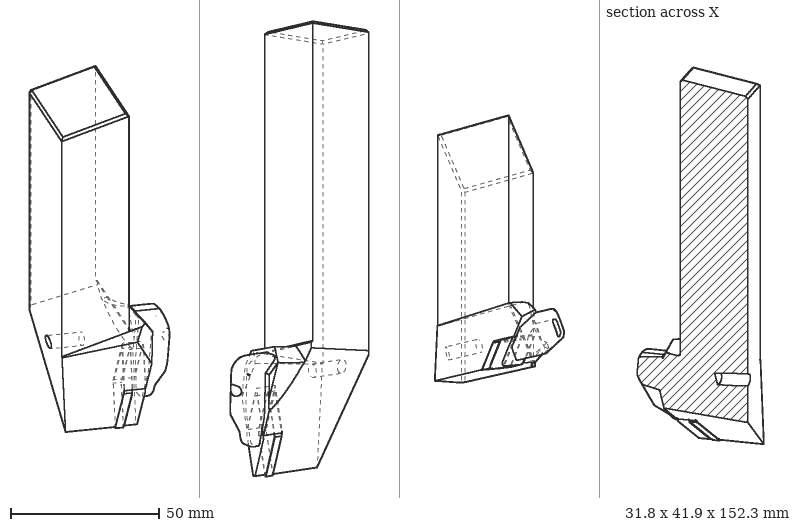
import cadquery as cq
import math


total_length = 152.4
shank_size = 25.5
shank_chamfer = 0.9

shoulder_z = 41.5
shoulder_normal = cq.Vector(0.95, 0, 1)
head_level_y = 26.0
back_bevel_point = cq.Vector(14.8, 30.8, 41.1)
back_bevel_normal = cq.Vector(-0.16, 1, 0.46)
corner_bevel_point = cq.Vector(24.4, 32.3, 41.1)
corner_bevel_normal = cq.Vector(1, 0.62, 0.36)
blank_margin = 15.2

blend_crease_z = 35
blend_start = (2.7, head_level_y)
blend_middle = (7.0, 28.5)
blend_end = (9.6, 32.8)
blend_exit_x = 11.3
blend_upper_lean = cq.Vector(0.85, 0, 1)
blend_lower_lean = cq.Vector(0.4, 0, -1)

left_flank_normal = cq.Vector(1.267, 0.09, 1)
right_flank_normal = cq.Vector(1, -0.1, 0.075)
seat_apex = cq.Vector(31.9, 24.8, -1.5)
insert_edge = 16.6
insert_thickness = 4.7
nose_radius = 0.8
flank_setback = 0.5
shim_thickness = 3.0
shim_inset = 0.3
pocket_gap = 0.5
pocket_depth = insert_thickness + shim_thickness

clamp_nose = 12.6
clamp_ramp_start = 17.4
clamp_shoulder = 23.6
clamp_crown_start = 27.1
clamp_waist = 32.9
clamp_crown_end = 33.5
clamp_heel_start = 35.0
clamp_back = 44.3
clamp_nose_half_width = 2.5
clamp_left_width = 5.2
clamp_right_width = 5.8
clamp_nose_height = 4.4
clamp_nose_front_height = 1.8
clamp_side_height = 6.1
clamp_height = 8.8
clamp_back_height = 5.0
clamp_heel_depth = 4.3
clamp_corner_radius = 1.8
clamp_top_round = 1.2
back_flat_end = 0.8
back_strip_end = 2.5
back_strip_setback = 0.8
broad_corner_length = 6.9
broad_corner_middle = (clamp_back - 2.6, 4.5)
waist_radius = 3.0
waist_depth = 0.8

screw_x = 15.4
screw_z = 38.9
screw_diameter = 4.5
screw_depth = 12.2

seat_normal = left_flank_normal.cross(right_flank_normal).normalized()
right_edge = right_flank_normal.cross(seat_normal).normalized()
seat_plane = cq.Plane(origin=seat_apex.toTuple(), xDir=right_edge.toTuple(), normal=seat_normal.toTuple())
left_flank_point = seat_apex + left_flank_normal.normalized() * flank_setback
half_angle = left_flank_normal.getAngle(right_flank_normal) / 2

clamp_plane = seat_plane.rotated((0, 0, -math.degrees(half_angle)))
clamp_side_plane = clamp_plane.rotated((90, 0, 0))
clamp_section_plane = clamp_plane.rotated((0, 90, 0))
parallel_to_seat_normal = cq.selectors.ParallelDirSelector(seat_normal)


def rhombus(edge, inset=0.0):
    """V outline on the seat plane with its sharp corner at the apex, moved inward by `inset`."""
    tip = inset / math.sin(half_angle)
    half_length = edge * math.cos(half_angle)
    half_width = edge * math.sin(half_angle) - inset / math.cos(half_angle)
    return cq.Workplane(clamp_plane).polyline([
        (tip, 0),
        (half_length, half_width),
        (2 * half_length - tip, 0),
        (half_length, -half_width),
    ]).close()


def half_space_cutter(point, normal):
    """Large block lying wholly on the side of a plane that `normal` points to."""
    reach = 2 * total_length
    plane = cq.Plane(origin=point.toTuple(), normal=normal.toTuple())
    return cq.Workplane(plane).rect(reach, reach).extrude(reach)


def square_bar(width, bottom_z, top_z):
    """Square bar on the X and Y zero faces, with the long edge they share chamfered."""
    bar = cq.Workplane(origin=(0, 0, bottom_z)).box(width, width, top_z - bottom_z, centered=False)
    return bar.edges("|Z and <X and <Y").chamfer(shank_chamfer)


def make_shank():
    bar = square_bar(shank_size, shoulder_z - blank_margin, total_length)
    shank = bar.faces(">Z").chamfer(shank_chamfer)
    return shank.cut(half_space_cutter(left_flank_point, -left_flank_normal))


def flank_wedge():
    """Prism between the two flanks, running through the whole holder along the seat normal."""
    tip = flank_setback / math.sin(half_angle)
    length = 2 * total_length
    spread = (length - tip) * math.tan(half_angle)
    return (
        cq.Workplane(clamp_plane)
        .polyline([(tip, 0), (length, spread), (length, -spread)]).close()
        .extrude(total_length, both=True)
    )


def blend_cutters():
    """Concave sweep beside the platform, leaning toward +X both above and below its crease."""
    outer_y = shank_size + 2 * blank_margin
    profile = (
        cq.Workplane(origin=(0, 0, blend_crease_z))
        .moveTo(-blank_margin, head_level_y)
        .lineTo(*blend_start)
        .threePointArc(blend_middle, blend_end)
        .lineTo(blend_exit_x, outer_y)
        .lineTo(-blank_margin, outer_y)
        .close()
    )
    wire = profile.wires().val()
    upper = cq.Solid.extrudeLinear(wire, [], blend_upper_lean * blank_margin)
    lower = cq.Solid.extrudeLinear(wire, [], blend_lower_lean * blend_crease_z)
    return [cq.Workplane(upper), cq.Workplane(lower)]


def make_head():
    head = square_bar(shank_size + blank_margin, -blank_margin, shoulder_z).intersect(flank_wedge())
    head = head.cut(half_space_cutter(seat_apex, seat_normal))
    head = head.cut(half_space_cutter(cq.Vector(shank_size, 0, shoulder_z), shoulder_normal))
    head = head.cut(half_space_cutter(back_bevel_point, back_bevel_normal))
    head = head.cut(half_space_cutter(corner_bevel_point, corner_bevel_normal))
    for cutter in blend_cutters():
        head = head.cut(cutter)
    return head


def shelf_bevel():
    """Small bevel filling the step between the shank face and the top of the head."""
    step = head_level_y - shank_size
    return (
        cq.Workplane("YZ")
        .polyline([
            (shank_size, shoulder_z),
            (shank_size, shoulder_z + step),
            (head_level_y, shoulder_z),
        ]).close()
        .extrude(shank_size)
    )


def insert_pocket():
    """Open pocket for insert and shim, with a narrow gap along its two inner walls."""
    return rhombus(insert_edge + pocket_gap).extrude(-pocket_depth)


def make_shim():
    blank = rhombus(insert_edge, shim_inset).extrude(-pocket_depth)
    return blank.cut(rhombus(insert_edge + pocket_gap).extrude(-insert_thickness))


def make_insert():
    blank = rhombus(insert_edge).extrude(-insert_thickness)
    return blank.edges(parallel_to_seat_normal).fillet(nose_radius)


def clamp_side_profile():
    """Side outline of the clamp: rounded nose, rising ramp, crown, sloping top and deep heel."""
    nose_rise = clamp_nose_height - clamp_nose_front_height
    arc_inset = nose_rise * (1 - math.sqrt(0.5))
    return (
        cq.Workplane(clamp_side_plane)
        .moveTo(clamp_nose, 0)
        .lineTo(clamp_nose, clamp_nose_front_height)
        .threePointArc(
            (clamp_nose + arc_inset, clamp_nose_height - arc_inset),
            (clamp_nose + nose_rise, clamp_nose_height),
        )
        .lineTo(clamp_ramp_start, clamp_nose_height)
        .lineTo(clamp_crown_start, clamp_height)
        .lineTo(clamp_crown_end, clamp_height)
        .lineTo(clamp_back, clamp_back_height)
        .lineTo(clamp_back, -clamp_heel_depth)
        .lineTo(clamp_heel_start, -clamp_heel_depth)
        .lineTo(clamp_heel_start, 0)
        .close()
        .extrude(2 * clamp_right_width, both=True)
    )


def clamp_plan():
    """Clamp outline square to the seat: narrow nose, parallel sides, one broad rounded corner."""
    blank = (
        cq.Workplane(clamp_plane)
        .moveTo(clamp_nose, clamp_nose_half_width)
        .lineTo(clamp_shoulder, clamp_right_width)
        .lineTo(clamp_back - broad_corner_length, clamp_right_width)
        .threePointArc(broad_corner_middle, (clamp_back - back_strip_setback, back_strip_end))
        .lineTo(clamp_back, back_flat_end)
        .lineTo(clamp_back, -clamp_left_width)
        .lineTo(clamp_shoulder, -clamp_left_width)
        .lineTo(clamp_nose, -clamp_nose_half_width)
        .close()
        .extrude(2 * clamp_height, both=True)
    )
    left_corner = clamp_plane.toWorldCoords((clamp_back, -clamp_left_width, 0)).toTuple()
    return blank.edges(cq.selectors.NearestToPointSelector(left_corner)).fillet(clamp_corner_radius)


def clamp_section():
    """Crowned cross-section of the clamp, run along its length."""
    return (
        cq.Workplane(clamp_section_plane)
        .moveTo(clamp_heel_depth, -clamp_left_width)
        .lineTo(-clamp_side_height, -clamp_left_width)
        .threePointArc((-clamp_height, 0), (-clamp_side_height, clamp_right_width))
        .lineTo(clamp_heel_depth, clamp_right_width)
        .close()
        .extrude(total_length)
    )


def clamp_waist_groove():
    """Shallow round groove across the crown of the clamp."""
    return (
        cq.Workplane(clamp_side_plane)
        .center(clamp_waist, clamp_height + waist_radius - waist_depth)
        .circle(waist_radius)
        .extrude(2 * clamp_right_width, both=True)
    )


def is_top_edge(edge):
    """True for clamp edges whose centre is level with the top of the nose or higher."""
    return clamp_plane.toLocalCoords(edge.Center()).z > clamp_nose_height - clamp_top_round / 2


def make_clamp():
    clamp = clamp_side_profile().intersect(clamp_plan()).intersect(clamp_section())
    clamp = clamp.edges().filter(is_top_edge).fillet(clamp_top_round)
    return clamp.cut(clamp_waist_groove()).cut(insert_pocket())


def screw_hole():
    """Blind hole in the back, square to the seat and in line with the middle of the clamp."""
    lead_in = screw_diameter
    start = cq.Vector(screw_x, 0, screw_z) - seat_normal * lead_in
    plane = cq.Plane(origin=start.toTuple(), normal=seat_normal.toTuple())
    return cq.Workplane(plane).circle(screw_diameter / 2).extrude(screw_depth + lead_in)


def make_holder():
    body = make_shank().union(make_head()).union(shelf_bevel())
    body = body.cut(insert_pocket()).union(make_shim()).union(make_clamp())
    return body.cut(screw_hole())


holder = make_holder()
insert = make_insert()
result = cq.Compound.makeCompound([holder.solids().val(), insert.val()])